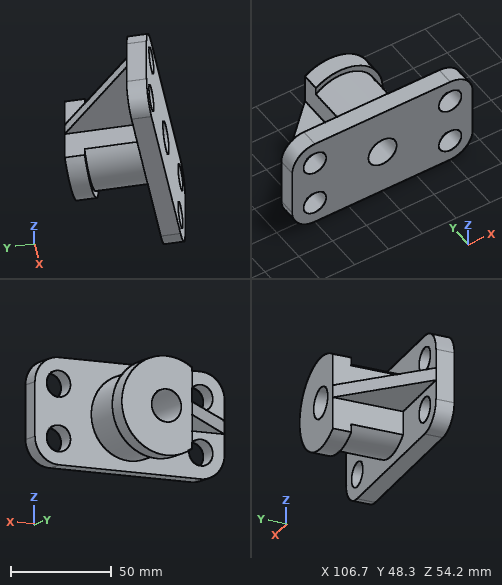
import cadquery as cq

plate_length = 106.7
plate_height = 54.2
plate_thickness = 10.0
corner_radius = 13.3
mount_hole_diameter = 13.3

total_depth = 48.3
boss_radius = 21.7
flange_radius = 25.1
flange_thickness = 10.0
flat_offset = 14.4
bore_diameter = 16.6

rib_thickness = 6.7


def cylinder_along_y(radius, start, end):
    """Solid cylinder about the Y axis, from Y = start to Y = end."""
    return cq.Workplane("XZ", origin=(0, start, 0)).circle(radius).extrude(start - end)


def make_plate():
    """Rounded plate with a hole concentric with each corner."""
    plate = (
        cq.Workplane("XY")
        .box(plate_length, plate_thickness, plate_height, centered=(True, False, True))
        .edges("|Y")
        .fillet(corner_radius)
    )
    hole_spacing_x = plate_length - 2 * corner_radius
    hole_spacing_z = plate_height - 2 * corner_radius
    holes = (
        cq.Workplane("XZ")
        .rarray(hole_spacing_x, hole_spacing_z, 2, 2)
        .circle(mount_hole_diameter / 2)
        .extrude(-plate_thickness)
    )
    return plate.cut(holes)


def make_boss():
    """Boss and end flange, both trimmed by the same flat."""
    barrel = cylinder_along_y(boss_radius, plate_thickness, total_depth)
    flange = cylinder_along_y(flange_radius, total_depth - flange_thickness, total_depth)
    kept_side = cq.Workplane("XY").box(
        flat_offset + flange_radius, total_depth, 2 * flange_radius, centered=(False, False, True)
    ).translate((-flat_offset, 0, 0))
    return barrel.union(flange).intersect(kept_side)


def make_rib():
    """Triangle rising from the plate end to the rear edge of the boss flat."""
    return (
        cq.Workplane("XY")
        .moveTo(-plate_length / 2, plate_thickness)
        .lineTo(-flat_offset, plate_thickness)
        .lineTo(-flat_offset, total_depth)
        .close()
        .extrude(rib_thickness / 2, both=True)
    )


bore = cylinder_along_y(bore_diameter / 2, 0, total_depth)
result = make_plate().union(make_boss()).union(make_rib()).cut(bore)